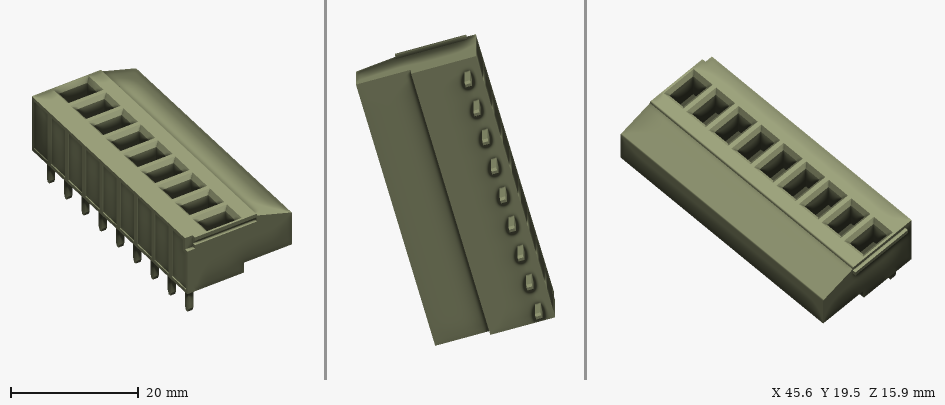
import cadquery as cq


POLES = 9
OVERALL_LENGTH = 45.6
LENGTH = 45.0
PITCH = LENGTH / POLES
DEPTH = 19.5
HEIGHT = 10.5
FOOT_DEPTH = 10.55
REAR_FLOOR_Z = 1.9
REAR_WALL_TOP_Z = 8.1
DECK_DEPTH = 13.0
SLOPE_TOP_Z = 10.12
EDGE_RADIUS = 0.27

PLATE_THICKNESS = 1.4
NOTCH_WIDTH = 0.7
NOTCH_HEIGHT = 2.2
LABEL_WIDTH = 4.05
LABEL_RECESS = 0.2
LABEL_Z_MARGIN = 0.65
LABEL_OFFSET = 0.05
NOTCH_RIM = 0.55

RIB_WIDTH = OVERALL_LENGTH - LENGTH
RIB_HEIGHT = 0.8
RIB_DROP = 0.7
RIB_TOP_Z = HEIGHT - RIB_DROP

OPENING_WIDTH = 4.25
OPENING_FRONT_Y = 3.75
OPENING_BACK_Y = 10.35
BEVEL_X = 0.6
BEVEL_Y = 0.7
BEVEL_DEPTH = 0.7
OPENING_DEPTH = 5.45

PIN_WIDTH = 1.0
PIN_THICKNESS = 0.9
PIN_FRONT_Y = 1.5
PIN_LENGTH = 5.43
PIN_TIP_HEIGHT = 0.7
PIN_TIP_WIDTH = 0.45

POLE_CENTRES = [(pole + 0.5) * PITCH for pole in range(POLES)]


def block(x, y, z):
    """Box given by its (low, high) limits along each axis."""
    size = [high - low for low, high in (x, y, z)]
    return cq.Workplane("XY").box(*size, centered=False).translate((x[0], y[0], z[0]))


def housing():
    """Side profile extruded along the row, with the two upper rear edges rounded."""
    profile = [
        (0, 0),
        (FOOT_DEPTH, 0),
        (FOOT_DEPTH, REAR_FLOOR_Z),
        (DEPTH, REAR_FLOOR_Z),
        (DEPTH, REAR_WALL_TOP_Z),
        (DECK_DEPTH, SLOPE_TOP_Z),
        (DECK_DEPTH, HEIGHT),
        (0, HEIGHT),
    ]
    body = cq.Workplane("YZ").polyline(profile).close().extrude(LENGTH)
    rear_edge = cq.selectors.NearestToPointSelector((LENGTH / 2, DEPTH, REAR_WALL_TOP_Z))
    deck_edge = cq.selectors.NearestToPointSelector((LENGTH / 2, DECK_DEPTH, HEIGHT))
    return body.edges(rear_edge).fillet(EDGE_RADIUS).edges(deck_edge).fillet(EDGE_RADIUS)


def end_rail(left_x):
    """Bar used both as the rib and as the groove cutter."""
    return block(
        (left_x, left_x + RIB_WIDTH),
        (PLATE_THICKNESS, DECK_DEPTH),
        (RIB_TOP_Z - RIB_HEIGHT, RIB_TOP_Z),
    )


def corner_notch(rim, y):
    """Upper right corner of the front plate, enlarged to the left and below by the rim."""
    return block(
        (LENGTH - NOTCH_WIDTH - rim, LENGTH),
        y,
        (HEIGHT - NOTCH_HEIGHT - rim, HEIGHT),
    )


def label_recesses():
    """Shallow front recesses; the last one steps around the corner notch."""
    cutter = cq.Workplane("XY")
    for centre in POLE_CENTRES:
        left = centre + LABEL_OFFSET - LABEL_WIDTH / 2
        cutter = cutter.add(block(
            (left, left + LABEL_WIDTH),
            (0, LABEL_RECESS),
            (LABEL_Z_MARGIN, HEIGHT - LABEL_Z_MARGIN),
        ))
    return cutter.combine().cut(corner_notch(NOTCH_RIM, (0, LABEL_RECESS)))


def screw_opening(centre):
    """Blind rectangular shaft with a bevelled mouth."""
    length = OPENING_BACK_Y - OPENING_FRONT_Y
    shaft_width = OPENING_WIDTH - 2 * BEVEL_X
    shaft_length = length - 2 * BEVEL_Y
    mouth = (
        cq.Workplane("XY")
        .rect(OPENING_WIDTH, length)
        .workplane(offset=-BEVEL_DEPTH)
        .rect(shaft_width, shaft_length)
        .loft(ruled=True)
    )
    shaft = (
        cq.Workplane("XY")
        .workplane(offset=-BEVEL_DEPTH)
        .rect(shaft_width, shaft_length)
        .extrude(BEVEL_DEPTH - OPENING_DEPTH)
    )
    middle_y = (OPENING_FRONT_Y + OPENING_BACK_Y) / 2
    return mouth.union(shaft).translate((centre, middle_y, HEIGHT))


def solder_pin(centre):
    """Flat pin below the housing, tapered in width at its tip."""
    half = PIN_WIDTH / 2
    half_tip = PIN_TIP_WIDTH / 2
    shoulder_z = PIN_TIP_HEIGHT - PIN_LENGTH
    outline = [
        (-half, 0),
        (-half, shoulder_z),
        (-half_tip, -PIN_LENGTH),
        (half_tip, -PIN_LENGTH),
        (half, shoulder_z),
        (half, 0),
    ]
    pin = cq.Workplane("XZ").polyline(outline).close().extrude(-PIN_THICKNESS)
    return pin.translate((centre, PIN_FRONT_Y, 0))


result = housing()
result = result.cut(corner_notch(0, (0, PLATE_THICKNESS)))
result = result.cut(label_recesses())
result = result.union(end_rail(-RIB_WIDTH))
result = result.cut(end_rail(LENGTH - RIB_WIDTH))
for pole_centre in POLE_CENTRES:
    result = result.cut(screw_opening(pole_centre))
    result = result.union(solder_pin(pole_centre))